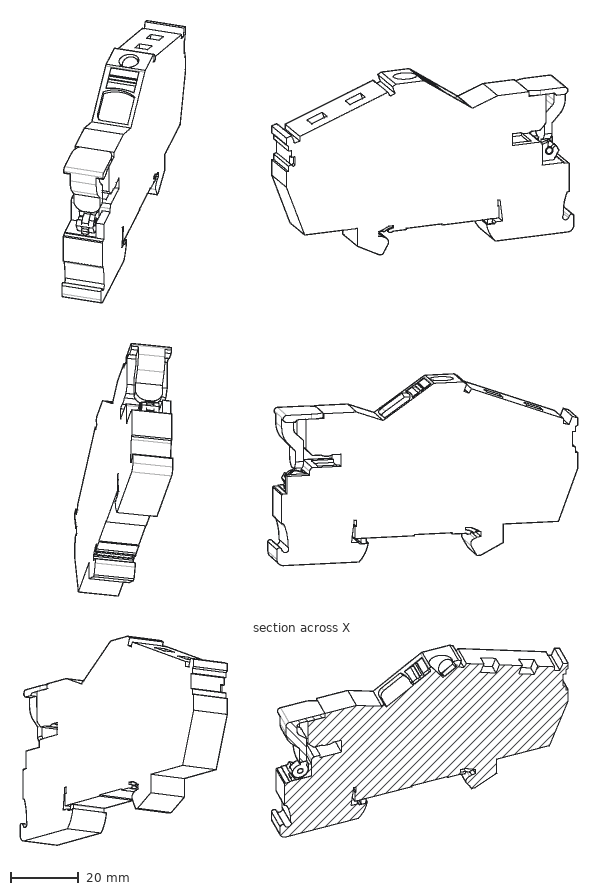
import cadquery as cq
import math

width = 12.0
length = 91.1
height = 52.9
half_width = width / 2
left_side = -half_width

ridge_y, ridge_z = 47.1, 52.6
valley_y, valley_z = 32.2, 42.4
front_top_z = 45.3
wire_face_front = (59.0, 50.7)
wire_face_back = (86.9, 40.4)

flap_seat_y, flap_seat_z = 14.2, 43.8
front_wall_y = 8.8
slot_bottom_z, slot_top_z = 29.2, 32.8
slot_back_y = 19.4
slot_edge_y = 10.8
slot_edge_radius = 1.1
slot_recess_inset = 2.0
slot_recess_depth = 0.9
pocket_back_y = 9.9
pocket_floor_z = 21.9
pocket_front_y = 3.1
pocket_right_x = 3.6
side_wall_top_z = 26.9
front_face_y = 1.5

hinge_y, hinge_z = 6.5, 24.9
hinge_pin_radius = 0.9
hinge_bore_radius = 1.2
knuckle_radius = 2.5
knuckle_clearance = 0.1
tongue_width = 2.0
cradle_width = 5.2
stem_end_z = 28.2

stem_half_width = 4.0

pad_width = 10.9
pad_front_y, pad_back_y = 25.6, 27.25
pad_bottom_z, pad_top_z = 5.5, 7.1
pad_fillet = 0.3

spring_inset = 0.7
spring_outline = [(61.3, 7.7), (58.7, 8.8), (57.1, 8.8), (57.1, 8.2), (58.6, 7.8), (60.0, 6.9), (60.5, 7.6)]

slope_angle = math.atan2(ridge_z - valley_z, ridge_y - valley_y)
slide_half_width = 4.3
slide_start, slide_end = 0.3, 6.4
slide_arch = 0.55
slide_thickness = 1.1
slide_recess = 0.2
groove_depth = 0.55
groove_spans = [(2.5, 2.9), (3.7, 4.7)]
window_half_width = 4.8
window_start, window_end = 6.9, 17.2
window_arch = 1.3
window_depth = 1.5
window_corner = 1.8

indicator_hole_diameter = 5.7
indicator_diameter = 4.8
indicator_hole_y = 51.2
indicator_depth = 2.7
indicator_length = 1.8

wire_entry_places = [79.1, 67.0]
wire_entry_width = 3.8
wire_entry_length = 5.1
wire_entry_depth = 3.1


def extruded(profile, x_start, x_end):
    """Extrude a closed profile drawn in (Y, Z) from one X to another."""
    return profile.extrude(x_end - x_start).translate((x_start, 0, 0))


def prism(points, x_start, x_end):
    return extruded(cq.Workplane("YZ").polyline(points).close(), x_start, x_end)


def block(x_span, y_span, z_span):
    size = [span[1] - span[0] for span in (x_span, y_span, z_span)]
    corner = (x_span[0], y_span[0], z_span[0])
    return cq.Workplane("XY").box(*size, centered=False).translate(corner)


def hinge_cylinder(radius, x_start, x_end):
    return extruded(cq.Workplane("YZ").center(hinge_y, hinge_z).circle(radius), x_start, x_end)


def tilted_plane(y, z, angle):
    """Plane through (Y, Z) = (y, z) that rises toward +Y by the angle; its local y runs uphill."""
    return cq.Workplane(cq.Plane((0, y, z), (1, 0, 0), (0, -math.sin(angle), math.cos(angle))))


def slope_plane():
    return tilted_plane(ridge_y, ridge_z, slope_angle)


def housing_profile():
    """Side outline of the housing, drawn from the front of the foot upward and around."""
    return (
        cq.Workplane("YZ")
        .moveTo(1.8, 0)
        .threePointArc((0.55, 0.6), (0, 2.0))
        .lineTo(0, 4.9)
        .threePointArc((0.7, 5.5), (1.5, 4.9))
        .lineTo(1.7, 4.5)
        .threePointArc((2.6, 3.9), (3.4, 5.5))
        .threePointArc((3.2, 8.7), (2.5, 11.7))
        .lineTo(2.1, 12.5)
        .lineTo(front_face_y, 12.7)
        .lineTo(front_face_y, 21.3)
        .lineTo(front_face_y + 0.3, 21.6)
        .lineTo(pocket_front_y, 21.6)
        .lineTo(pocket_front_y, side_wall_top_z)
        .lineTo(pocket_back_y, side_wall_top_z)
        .lineTo(pocket_back_y, slot_bottom_z - slot_edge_radius)
        .threePointArc((10.2, slot_bottom_z - 0.4), (slot_edge_y, slot_bottom_z))
        .lineTo(slot_back_y, slot_bottom_z)
        .lineTo(slot_back_y, slot_top_z)
        .lineTo(16.95, slot_top_z)
        .threePointArc((15.1, slot_top_z - 0.5), (13.3, slot_top_z))
        .lineTo(slot_edge_y, slot_top_z)
        .lineTo(front_wall_y, 34.8)
        .lineTo(front_wall_y, flap_seat_z)
        .lineTo(flap_seat_y, flap_seat_z)
        .lineTo(flap_seat_y, front_top_z)
        .lineTo(24.15, front_top_z)
        .lineTo(valley_y, valley_z)
        .lineTo(ridge_y, ridge_z)
        .lineTo(ridge_y + 0.55, height)
        .lineTo(56.4, height)
        .lineTo(57.5, 52.2)
        .lineTo(56.7, 50.0)
        .lineTo(58.15, 49.4)
        .lineTo(*wire_face_front)
        .lineTo(*wire_face_back)
        .lineTo(86.9, 38.9)
        .lineTo(88.5, 38.5)
        .lineTo(89.5, 40.9)
        .lineTo(length, 40.4)
        .lineTo(length, 38.2)
        .lineTo(90.5, 37.7)
        .lineTo(90.5, 36.3)
        .lineTo(89.6, 36.3)
        .lineTo(89.6, 31.9)
        .lineTo(90.5, 31.5)
        .lineTo(90.5, 29.9)
        .lineTo(length, 29.9)
        .lineTo(length, 25.1)
        .lineTo(85.3, 9.4)
        .lineTo(68.6, 9.4)
        .lineTo(68.6, 3.8)
        .lineTo(61.7, 0.3)
        .lineTo(60.6, 0.3)
        .lineTo(58.9, 3.3)
        .threePointArc((59.0, 4.7), (60.0, 5.5))
        .lineTo(60.6, 5.8)
        .lineTo(61.8, 6.0)
        .lineTo(61.8, 7.5)
        .lineTo(58.9, 7.5)
        .lineTo(58.5, 6.8)
        .lineTo(57.8, 6.8)
        .lineTo(57.1, 7.1)
        .lineTo(53.1, 7.1)
        .lineTo(53.1, 7.5)
        .lineTo(41.7, 7.5)
        .lineTo(41.7, pad_top_z)
        .lineTo(23.7, pad_top_z)
        .lineTo(23.7, 10.8)
        .lineTo(24.1, 10.85)
        .lineTo(24.1, 12.7)
        .lineTo(23.4, 12.7)
        .lineTo(22.6, 6.0)
        .lineTo(24.7, 6.0)
        .lineTo(25.2, pad_bottom_z)
        .lineTo(pad_back_y, pad_bottom_z)
        .lineTo(27.7, 5.65)
        .threePointArc((26.8, 2.7), (24.9, 0))
        .close()
    )


def slide_outline():
    """Rectangle with an arched lower edge."""
    return (
        slope_plane()
        .moveTo(-slide_half_width, -slide_start)
        .lineTo(-slide_half_width, -slide_end - slide_arch)
        .threePointArc((0, -slide_end), (slide_half_width, -slide_end - slide_arch))
        .lineTo(slide_half_width, -slide_start)
        .close()
    )


def window_recess():
    """Label recess with an arched upper edge and one rounded lower corner."""
    arc_reach = window_corner * (1 - math.sqrt(0.5))
    return (
        slope_plane()
        .moveTo(-window_half_width, -window_start - window_arch)
        .threePointArc((0, -window_start), (window_half_width, -window_start - window_arch))
        .lineTo(window_half_width, -window_end)
        .lineTo(-window_half_width + window_corner, -window_end)
        .threePointArc(
            (-window_half_width + arc_reach, -window_end + arc_reach),
            (-window_half_width, -window_end + window_corner),
        )
        .close()
        .extrude(-window_depth)
    )


def indicator_cylinder(diameter, top_depth, bottom_depth):
    """Cylinder on the indicator axis, between two depths below the flat top."""
    axis_plane = tilted_plane(indicator_hole_y, height, slope_angle)
    return axis_plane.workplane(offset=-bottom_depth).circle(diameter / 2).extrude(bottom_depth - top_depth)


def wire_entry(place_y):
    front_y, front_z = wire_face_front
    back_y, back_z = wire_face_back
    gradient = (back_z - front_z) / (back_y - front_y)
    face_z = front_z + (place_y - front_y) * gradient
    face_plane = tilted_plane(place_y, face_z, math.atan(gradient))
    return face_plane.rect(wire_entry_width, wire_entry_length).extrude(-wire_entry_depth)


def hinge_pocket():
    """Opening for the cradle, left of the side wall."""
    return block(
        (left_side, pocket_right_x),
        (pocket_front_y, pocket_back_y),
        (pocket_floor_z, side_wall_top_z),
    )


def slot_recess():
    """Recess in the floor of the slot, as wide as the flap stem."""
    return block(
        (-stem_half_width, stem_half_width),
        (slot_edge_y + slot_recess_inset, slot_back_y),
        (slot_bottom_z - slot_recess_depth, slot_bottom_z),
    )


def make_housing():
    body = extruded(housing_profile(), left_side, half_width)
    body = body.cut(hinge_pocket())
    body = body.cut(slot_recess())
    body = body.cut(slide_outline().extrude(-slide_recess - slide_thickness))
    body = body.cut(window_recess())
    above_top = -indicator_hole_diameter
    body = body.cut(
        indicator_cylinder(indicator_hole_diameter, above_top, indicator_depth + indicator_length)
    )
    for place_y in wire_entry_places:
        body = body.cut(wire_entry(place_y))
    body = body.cut(prism(spring_outline, left_side, half_width))
    notch_depth = 1.4
    notch = prism([(89.6, 34.2), (88.4, 34.2), (88.4, 31.7), (88.95, 31.3), (89.6, 31.9)],
                  left_side, left_side + notch_depth)
    return body.cut(notch)


def make_flap():
    """Flap with a full-width top plate, a bent stem and a hinge tongue carrying its pin."""
    plate_back_y = flap_seat_y
    plate_front_y = 1.9
    stem_back_y, stem_front_y = 8.6, 6.1
    stem_taper_z = 30.7
    lip_bottom_z = 43.1
    tongue_half = tongue_width / 2

    plate = extruded(
        cq.Workplane("YZ")
        .moveTo(plate_back_y, flap_seat_z)
        .lineTo(6.65, flap_seat_z)
        .threePointArc((5.9, 43.6), (5.6, lip_bottom_z))
        .lineTo(2.6, lip_bottom_z)
        .lineTo(plate_front_y, 43.8)
        .lineTo(plate_front_y, 44.1)
        .threePointArc((2.2, 44.9), (2.9, front_top_z))
        .lineTo(plate_back_y, front_top_z)
        .close(),
        left_side, half_width,
    )
    corner_y = 10.5
    corner_inset = 1.3
    corner_bulge = 0.4
    plate_outline = (
        cq.Workplane("XY")
        .moveTo(left_side, plate_front_y)
        .lineTo(left_side, corner_y)
        .threePointArc((left_side + corner_bulge, 12.6), (left_side + corner_inset, plate_back_y))
        .lineTo(half_width - corner_inset, plate_back_y)
        .threePointArc((half_width - corner_bulge, 12.6), (half_width, corner_y))
        .lineTo(half_width, plate_front_y)
        .close()
        .extrude(height)
    )
    plate = plate.intersect(plate_outline)

    stem = extruded(
        cq.Workplane("YZ")
        .moveTo(5.6, lip_bottom_z)
        .lineTo(5.6, 40.9)
        .threePointArc((5.65, 40.1), (6.0, 39.5))
        .lineTo(stem_back_y, 37.0)
        .lineTo(stem_back_y, stem_end_z)
        .lineTo(stem_front_y, stem_end_z)
        .lineTo(stem_front_y, 33.9)
        .lineTo(3.4, 36.8)
        .threePointArc((2.3, 38.9), (plate_front_y, 41.3))
        .lineTo(plate_front_y, 43.8)
        .lineTo(5.6, 43.8)
        .close(),
        -stem_half_width, stem_half_width,
    )
    stem_outline = (
        cq.Workplane("XZ")
        .moveTo(-stem_half_width, front_top_z)
        .lineTo(-stem_half_width, stem_taper_z)
        .threePointArc((-3.0, 29.1), (-tongue_half, stem_end_z))
        .lineTo(tongue_half, stem_end_z)
        .threePointArc((3.0, 29.1), (stem_half_width, stem_taper_z))
        .lineTo(stem_half_width, front_top_z)
        .close()
        .extrude(-length)
    )
    stem = stem.intersect(stem_outline)

    tongue = block((-tongue_half, tongue_half), (hinge_y, stem_back_y), (hinge_z, stem_end_z))
    knuckle = hinge_cylinder(knuckle_radius, -tongue_half, tongue_half)
    pin = hinge_cylinder(hinge_pin_radius, -cradle_width / 2, cradle_width / 2)
    return plate.union(stem).union(tongue).union(knuckle).union(pin)


def make_cradle():
    """Hinge cradle: two cheeks beside the flap tongue, the left one with an open snap mouth."""
    cheek = cradle_width / 2
    channel_half = tongue_width / 2 + knuckle_clearance
    body = prism(
        [(pocket_back_y, pocket_floor_z), (pocket_back_y, 26.7), (8.6, 27.2), (6.65, 27.7), (5.9, 27.7),
         (4.5, 26.5), (3.4, 24.7), (5.0, pocket_floor_z)],
        -cheek, cheek,
    )
    tab = prism([(5.5, pocket_floor_z), (5.5, 23.6), (4.1, 23.6), (3.6, 23.0), (3.8, pocket_floor_z)],
                -tongue_width / 2, tongue_width / 2)
    body = body.union(tab)
    channel_radius = knuckle_radius + knuckle_clearance
    body = body.cut(hinge_cylinder(channel_radius, -channel_half, channel_half))
    channel = block(
        (-channel_half, channel_half),
        (hinge_y - channel_radius, hinge_y + channel_radius),
        (hinge_z, stem_end_z),
    )
    body = body.cut(channel)
    body = body.cut(hinge_cylinder(hinge_bore_radius, -cheek, cheek))
    mouth = prism([(hinge_y, hinge_z), (6.9, 25.9), (6.7, stem_end_z), (5.5, stem_end_z), (4.1, 26.4)],
                  -cheek, -channel_half)
    return body.cut(mouth)


def make_slide():
    """Finger slide set in the sloped face, with two sawtooth grooves across it."""
    body = slide_outline().extrude(-slide_thickness).translate(
        (0, slide_recess * math.sin(slope_angle), -slide_recess * math.cos(slope_angle))
    )
    uphill = (0, math.cos(slope_angle), math.sin(slope_angle))
    slope_section = cq.Plane((-slide_half_width, ridge_y, ridge_z), uphill, (1, 0, 0))
    for start, end in groove_spans:
        groove = (
            cq.Workplane(slope_section)
            .polyline([(-start, 0), (-end, 0), (-end, -slide_recess), (-start, -slide_recess - groove_depth)])
            .close()
            .extrude(2 * slide_half_width)
        )
        body = body.cut(groove)
    return body


def make_indicator():
    return indicator_cylinder(indicator_diameter, indicator_depth, indicator_depth + indicator_length)


def make_rail_spring():
    return prism(spring_outline, left_side + spring_inset, half_width - spring_inset)


def make_rail_pad():
    pad = block((-pad_width / 2, pad_width / 2), (pad_front_y, pad_back_y), (pad_bottom_z, pad_top_z))
    return pad.edges("|X").fillet(pad_fillet)


housing = make_housing()
flap = make_flap()
cradle = make_cradle()
slide = make_slide()
indicator = make_indicator()
rail_spring = make_rail_spring()
rail_pad = make_rail_pad()

result = cq.Compound.makeCompound([
    housing.val(),
    flap.val(),
    cradle.val(),
    slide.val(),
    indicator.val(),
    rail_spring.val(),
    rail_pad.val(),
])